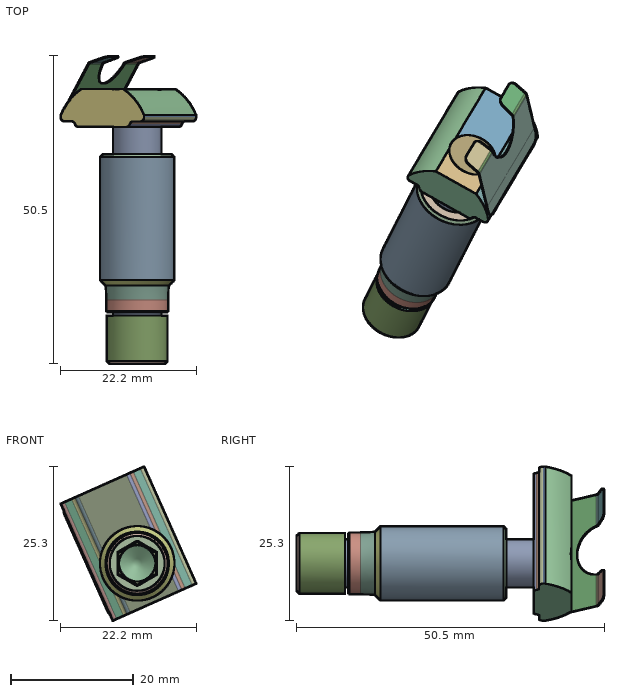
import cadquery as cq
import math

TOTAL_LENGTH = 50.45

SHANK_RADIUS = 4.0
HEAD_RADIUS = 5.0
HEAD_LENGTH = 7.95
HEAD_CHAMFER = 0.5
HEX_ACROSS_FLATS = 6.1
HEX_MOUTH_CHAMFER = 0.15
HEX_DEPTH = 5.05
DRILL_RADIUS = 3.0
DRILL_POINT_ANGLE = 118.0

SLEEVE_RADIUS = 6.1
HEAD_GAP = 0.5
SLEEVE_FRONT = HEAD_LENGTH + HEAD_GAP
SLEEVE_BACK = 34.4
SLEEVE_BACK_CHAMFER = 0.5
COLLAR_RADIUS = 5.1
COLLAR_CHAMFER = 0.25
COLLAR_STRAIGHT_END = 10.55
COLLAR_END = 12.85
COLLAR_FLARE = 0.1
SHOULDER_LENGTH = 0.9

NUT_TURN = 24.0
NUT_WIDTH = 15.0
NUT_LENGTH = 21.0
NUT_OFFSET = 3.55
NUT_FRONT = 38.85
NUT_THICKNESS = 6.2
NUT_BACK_WIDTH = 7.55
NUT_CROWN_RADIUS = 9.5
STEP_HEIGHT = 0.9
STEP_START_INSET = 3.2
STEP_END_INSET = 1.95
FLANGE_CORNER_RADIUS = 0.7
FLANGE_SIDE_HEIGHT = 0.3

SHEET = 0.15
CLIP_WIDTH = 20.0
PLATE_LEAN = 30.0
PLATE_LENGTH = 10.0
FOOT_CORNER_RADIUS = 1.5
NOTCH_RADIUS = 4.4
NOTCH_DEPTH = 3.95
PRONG_LEAN = 72.0
TIP_HALF_GAP = 4.7
PRONG_CORNER_RADIUS = 1.0
BEND_RADIUS = 0.6

TURN = math.radians(NUT_TURN)
ACROSS = cq.Vector(math.cos(TURN), 0, math.sin(TURN))
ALONG = cq.Vector(-math.sin(TURN), 0, math.cos(TURN))
BACKWARD = cq.Vector(0, 1, 0)
NUT_CENTRE = ALONG * NUT_OFFSET
NUT_SECTION = cq.Plane(origin=NUT_CENTRE, xDir=ACROSS, normal=ALONG)

FLANGE_FRONT = NUT_FRONT + STEP_HEIGHT
FLANGE_SIDE_START = FLANGE_FRONT + FLANGE_CORNER_RADIUS
FLANGE_SIDE_END = FLANGE_SIDE_START + FLANGE_SIDE_HEIGHT
NUT_BACK = NUT_FRONT + NUT_THICKNESS


def facing_plane(origin_y):
    """Plane across the screw axis, facing forward."""
    return cq.Plane(origin=(0, origin_y, 0), xDir=(1, 0, 0), normal=(0, -1, 0))


def revolve_about_screw_axis(profile):
    return profile.close().revolve(360, (0, 0, 0), (0, 1, 0))


def hex_socket():
    corner_diameter = HEX_ACROSS_FLATS / math.cos(math.pi / 6)
    mouth_diameter = (HEX_ACROSS_FLATS + 2 * HEX_MOUTH_CHAMFER) / math.cos(math.pi / 6)
    hexagon = cq.Workplane(facing_plane(0)).transformed(rotate=(0, 0, 30))
    bore = hexagon.polygon(6, corner_diameter).extrude(-HEX_DEPTH)
    mouth = (
        hexagon.polygon(6, mouth_diameter)
        .workplane(offset=-HEX_MOUTH_CHAMFER)
        .polygon(6, corner_diameter)
        .loft()
    )
    drill_point_length = DRILL_RADIUS / math.tan(math.radians(DRILL_POINT_ANGLE / 2))
    drill_point = revolve_about_screw_axis(
        cq.Workplane("XY")
        .moveTo(0, HEX_DEPTH)
        .lineTo(DRILL_RADIUS, HEX_DEPTH)
        .lineTo(0, HEX_DEPTH + drill_point_length)
    )
    return bore.union(mouth).union(drill_point)


def make_screw():
    body = revolve_about_screw_axis(
        cq.Workplane("XY")
        .lineTo(HEAD_RADIUS - HEAD_CHAMFER, 0)
        .lineTo(HEAD_RADIUS, HEAD_CHAMFER)
        .lineTo(HEAD_RADIUS, HEAD_LENGTH)
        .lineTo(SHANK_RADIUS, HEAD_LENGTH)
        .lineTo(SHANK_RADIUS, NUT_BACK)
        .lineTo(0, NUT_BACK)
    )
    return body.cut(hex_socket())


def make_sleeve():
    return revolve_about_screw_axis(
        cq.Workplane("XY")
        .moveTo(SHANK_RADIUS, SLEEVE_FRONT)
        .lineTo(COLLAR_RADIUS - COLLAR_CHAMFER, SLEEVE_FRONT)
        .lineTo(COLLAR_RADIUS, SLEEVE_FRONT + COLLAR_CHAMFER)
        .lineTo(COLLAR_RADIUS, COLLAR_STRAIGHT_END)
        .tangentArcPoint((COLLAR_RADIUS + COLLAR_FLARE, COLLAR_END), relative=False)
        .lineTo(SLEEVE_RADIUS, COLLAR_END + SHOULDER_LENGTH)
        .lineTo(SLEEVE_RADIUS, SLEEVE_BACK - SLEEVE_BACK_CHAMFER)
        .lineTo(SLEEVE_RADIUS - SLEEVE_BACK_CHAMFER, SLEEVE_BACK)
        .lineTo(SHANK_RADIUS, SLEEVE_BACK)
    )


def make_nut_blank():
    """Slot nut with a plain hole for the screw, before the clip seat is cut."""
    half_width = NUT_WIDTH / 2
    step_start = half_width - STEP_START_INSET
    step_end = half_width - STEP_END_INSET
    step_middle = ((step_start + step_end) / 2, NUT_FRONT + STEP_HEIGHT / 2)
    blank = (
        cq.Workplane(NUT_SECTION)
        .moveTo(0, NUT_FRONT)
        .lineTo(step_start, NUT_FRONT)
        .tangentArcPoint(step_middle, relative=False)
        .tangentArcPoint((step_end, FLANGE_FRONT), relative=False)
        .lineTo(half_width - FLANGE_CORNER_RADIUS, FLANGE_FRONT)
        .tangentArcPoint((half_width, FLANGE_SIDE_START), relative=False)
        .lineTo(half_width, FLANGE_SIDE_END)
        .radiusArc((NUT_BACK_WIDTH / 2, NUT_BACK), -NUT_CROWN_RADIUS)
        .lineTo(0, NUT_BACK)
        .mirrorY()
        .extrude(NUT_LENGTH / 2, both=True)
    )
    hole = cq.Workplane(facing_plane(NUT_FRONT)).circle(SHANK_RADIUS).extrude(-NUT_THICKNESS)
    return blank.cut(hole)


def sheet_plane(across, back, lean):
    """Outer face of a clip leaf: x runs along the nut and y up the leaf, which leans from the screw axis."""
    outward = BACKWARD * math.sin(lean) - ACROSS * math.cos(lean)
    origin = NUT_CENTRE + ACROSS * across + BACKWARD * back
    return cq.Plane(origin=origin, xDir=ALONG, normal=outward)


def bent_strip(foot, bend, tip, plate_lean, prong_lean):
    """Full-width strip with one bend. Points are (across, back) on the outer face of the sheet."""
    outer_radius = BEND_RADIUS + SHEET
    setback = outer_radius * math.tan((prong_lean - plate_lean) / 2)

    def shifted(point, distance_up, lean, depth):
        """Point moved up a leaf that leans by the given angle, then inward by a depth."""
        across = point[0] + distance_up * math.sin(lean) + depth * math.cos(lean)
        back = point[1] + distance_up * math.cos(lean) - depth * math.sin(lean)
        return (across, back)

    return (
        cq.Workplane(NUT_SECTION)
        .moveTo(*foot)
        .lineTo(*shifted(bend, -setback, plate_lean, 0))
        .radiusArc(shifted(bend, setback, prong_lean, 0), outer_radius)
        .lineTo(*tip)
        .lineTo(*shifted(tip, 0, prong_lean, SHEET))
        .lineTo(*shifted(bend, setback, prong_lean, SHEET))
        .radiusArc(shifted(bend, -setback, plate_lean, SHEET), -BEND_RADIUS)
        .lineTo(*shifted(foot, 0, plate_lean, SHEET))
        .close()
        .extrude(CLIP_WIDTH / 2, both=True)
    )


def make_clip():
    plate_lean = math.radians(PLATE_LEAN)
    prong_lean = math.radians(PRONG_LEAN)
    foot = (-NUT_WIDTH / 2 - SHEET, FLANGE_SIDE_END)
    bend = (foot[0] + PLATE_LENGTH * math.sin(plate_lean), foot[1] + PLATE_LENGTH * math.cos(plate_lean))
    prong_length = (TOTAL_LENGTH - bend[1]) / math.cos(prong_lean)
    tip = (bend[0] + prong_length * math.sin(prong_lean), TOTAL_LENGTH)
    clip = bent_strip(foot, bend, tip, plate_lean, prong_lean)

    plate_plane = sheet_plane(*foot, plate_lean)
    across_plate = cq.selectors.ParallelDirSelector(plate_plane.zDir)
    clip = clip.edges(across_plate).edges("<Y").fillet(FOOT_CORNER_RADIUS)

    notch = (
        cq.Workplane(plate_plane)
        .center(0, PLATE_LENGTH - NOTCH_DEPTH + NOTCH_RADIUS)
        .circle(NOTCH_RADIUS)
        .extrude(2 * SHEET, both=True)
    )
    clip = clip.cut(notch)

    prong_plane = sheet_plane(*bend, prong_lean)
    root_half_gap = math.sqrt(NOTCH_RADIUS**2 - (NOTCH_RADIUS - NOTCH_DEPTH) ** 2)
    gap = (
        cq.Workplane(prong_plane)
        .moveTo(-root_half_gap, 0)
        .lineTo(root_half_gap, 0)
        .lineTo(TIP_HALF_GAP, prong_length)
        .lineTo(-TIP_HALF_GAP, prong_length)
        .close()
        .extrude(2 * SHEET, both=True)
    )
    clip = clip.cut(gap)

    across_prong = cq.selectors.ParallelDirSelector(prong_plane.zDir)
    return clip.edges(across_prong).edges(">Y").fillet(PRONG_CORNER_RADIUS)


screw = make_screw()
sleeve = make_sleeve()
clip = make_clip()
nut = make_nut_blank().cut(clip)

bodies = [screw, sleeve, nut, clip]
result = cq.Compound.makeCompound([body.solids().val() for body in bodies])